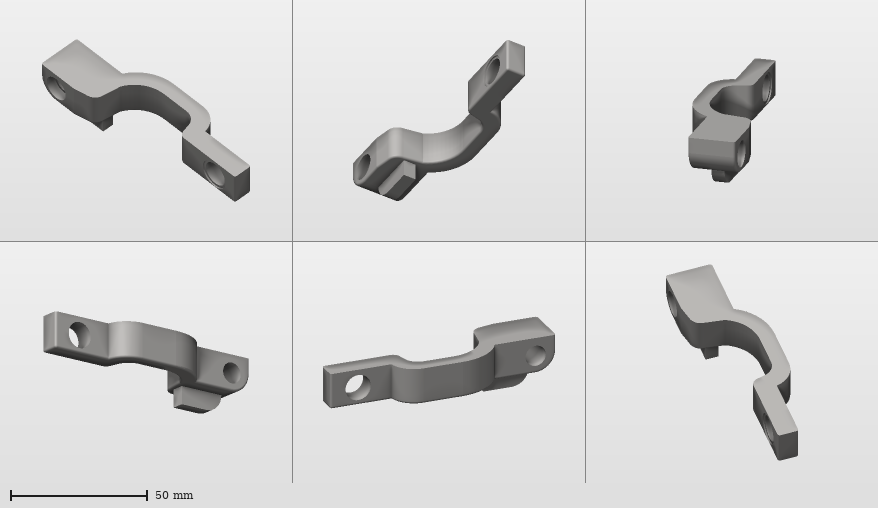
import cadquery as cq

length = 90.0
width = 28.0
height = 13.95

left_pad_width = 18.0
right_pad_front = 12.0
right_pad_back = 20.0
strap_thickness = 6.0
pad_corner_radius = 8.0
edge_radius = 0.9

hole_height = 6.8
left_hole_x = pad_corner_radius
left_hole_diameter = 8.0
left_bore_diameter = 10.0
left_bore_depth = 4.0
right_hole_x = 79.0
right_hole_diameter = 10.0
right_bore_diameter = 12.0
right_bore_depth = 0.5

tab_length = 18.0
tab_width = 5.0
tab_drop = 7.0
tab_corner_radius = 6.9


def make_body():
    """Plan outline of the two pads and the arched strap, extruded upward."""
    arch_inside = width - strap_thickness
    crown_right_x = 56.4
    arch_foot_x = 65.9
    arch_run = arch_foot_x - crown_right_x
    arch_rise = width - right_pad_back
    right_arch_radius = (arch_run**2 + arch_rise**2) / (2 * arch_rise)
    body = (
        cq.Workplane("XY")
        .lineTo(17.4, 0)
        .lineTo(23.7, 1.3)
        .threePointArc((26.2, 2.9), (27.2, 5.5))
        .lineTo(28.35, 13.1)
        .threePointArc((33.2, 19.1), (42.2, arch_inside))
        .lineTo(53.55, arch_inside)
        .threePointArc((57.5, 20.7), (59.5, 17.5))
        .lineTo(60.3, 14.2)
        .threePointArc((61.3, 12.6), (63.2, right_pad_front))
        .lineTo(length, right_pad_front)
        .lineTo(length, right_pad_back)
        .lineTo(arch_foot_x, right_pad_back)
        .radiusArc((crown_right_x, width), -right_arch_radius)
        .lineTo(40.95, width)
        .tangentArcPoint((24.1, left_pad_width), relative=False)
        .lineTo(0, left_pad_width)
        .close()
        .extrude(height)
    )
    body = body.edges("<X and <Z").fillet(pad_corner_radius)
    body = body.edges("|Z and >X").fillet(edge_radius)
    left_corners = body.faces("<X").edges("|Z").vals()
    underside_rim = body.faces("<Z").edges("not(<X)").vals()
    body = body.newObject(left_corners + underside_rim)
    return body.fillet(edge_radius)


def cylinder_along_y(x, front_y, diameter, depth):
    """Cylinder starting at front_y and pointing toward +Y."""
    start = cq.Vector(x, front_y, hole_height)
    return cq.Workplane(obj=cq.Solid.makeCylinder(diameter / 2, depth, start, cq.Vector(0, 1, 0)))


def cut_screw_hole(body, x, front_y, back_y, diameter, bore_diameter, bore_depth):
    """Through hole with a counterbore from the front face of its pad."""
    hole = cylinder_along_y(x, front_y, diameter, back_y - front_y)
    counterbore = cylinder_along_y(x, front_y, bore_diameter, bore_depth)
    return body.cut(hole).cut(counterbore)


def make_tab():
    """Rounded tab centred across the left pad, sunk into the body to join it."""
    overlap = edge_radius * 2
    return (
        cq.Workplane("XY", origin=(left_hole_x, left_pad_width / 2, -tab_drop))
        .box(tab_length, tab_width, tab_drop + overlap, centered=(False, True, False))
        .edges("<X and <Z")
        .fillet(tab_corner_radius)
    )


result = make_body()
result = cut_screw_hole(
    result, left_hole_x, 0, left_pad_width,
    left_hole_diameter, left_bore_diameter, left_bore_depth,
)
result = cut_screw_hole(
    result, right_hole_x, right_pad_front, right_pad_back,
    right_hole_diameter, right_bore_diameter, right_bore_depth,
)
result = result.union(make_tab())